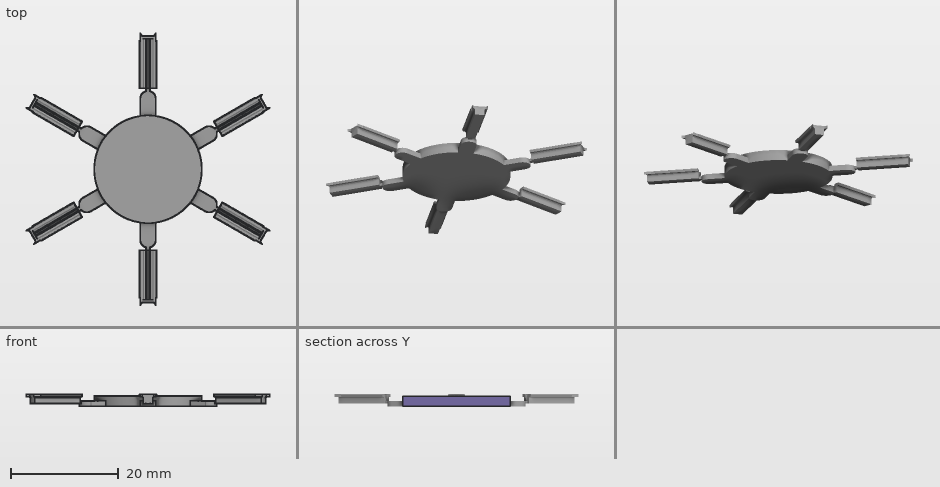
import cadquery as cq
import math

disc_radius = 10.0
disc_height = 1.95

spoke_count = 6
first_spoke_angle = 30
pad_width = 2.95
pad_height = 1.0
pad_tip = 14.55

rail_start = 15.05
rail_end = 24.8
rail_bottom = 0.5
rail_top = 2.3
rail_width = 1.75

flange_width = 2.9
flange_height = 0.5
flange_tip = 25.3
flange_root_chamfer = 0.15
flange_end_radius = 0.9
flange_bottom = rail_top - flange_height
flange_root_half_width = rail_width / 2 + flange_root_chamfer

bead_depth = 0.15
bead_end = 23.9

groove_width = 0.75
groove_depth = 1.2
groove_lip_width = 0.48
groove_lip_radius = 0.6
groove_floor_width = 0.4
groove_floor_radius = 0.25
groove_end = 24.3

neck_width = groove_width
neck_overlap = 0.5


def extrude_along_spoke(profile, start, end):
    """Mirror a half section and extrude it outward from start to end."""
    return profile.mirrorY().extrude(end - start)


def section_plane(start):
    """Section across the spoke: local x is sideways (+Y), local y is up (+Z)."""
    return cq.Workplane("YZ", origin=(start, 0, 0))


def arc_rise(radius, run):
    """Height gained by an arc that starts level, over a given sideways run."""
    return radius - math.sqrt(radius**2 - run**2)


def make_pad():
    """Flat bar reaching from the hub axis to a fully rounded tip."""
    half = pad_width / 2
    end_center = pad_tip - half
    return (
        cq.Workplane("XY")
        .moveTo(0, -half)
        .lineTo(end_center, -half)
        .threePointArc((pad_tip, 0), (end_center, half))
        .lineTo(0, half)
        .close()
        .extrude(pad_height)
    )


def make_neck():
    """Bar joining pad and rail, overlapping both so that they fuse."""
    start = pad_tip - neck_overlap
    length = rail_start + neck_overlap - start
    height = pad_height - rail_bottom
    return (
        cq.Workplane("XY", origin=(start, 0, rail_bottom))
        .box(length, neck_width, height, centered=(False, True, False))
    )


def make_rail_body():
    """Solid bar with chamfered shoulders under the flanges."""
    half = rail_width / 2
    profile = (
        section_plane(rail_start)
        .moveTo(0, rail_bottom)
        .lineTo(half, rail_bottom)
        .lineTo(half, flange_bottom - flange_root_chamfer)
        .lineTo(flange_root_half_width, flange_bottom)
        .lineTo(flange_root_half_width, rail_top)
        .lineTo(0, rail_top)
    )
    return extrude_along_spoke(profile, rail_start, rail_end)


def make_flanges():
    """Beaded flange plate whose outer end curves forward into two pointed tips."""
    half = flange_width / 2
    plate = (
        cq.Workplane("XY", origin=(0, 0, flange_bottom))
        .moveTo(rail_start, 0)
        .lineTo(rail_start, half)
        .lineTo(flange_tip, half)
        .radiusArc((rail_end, flange_root_half_width), -flange_end_radius)
        .lineTo(rail_end, 0)
        .mirrorX()
        .extrude(flange_height)
    )
    bead_profile = (
        section_plane(rail_start)
        .moveTo(0, flange_bottom)
        .lineTo(half, flange_bottom)
        .lineTo(half + bead_depth, rail_top - bead_depth)
        .radiusArc((half, rail_top), -bead_depth)
        .lineTo(0, rail_top)
    )
    return plate.union(extrude_along_spoke(bead_profile, rail_start, bead_end))


def make_groove():
    """Cutter with a rounded mouth, tapering walls and a concave floor."""
    half = groove_width / 2
    floor_half = groove_floor_width / 2
    mouth_half = half + groove_lip_width
    lip_drop = arc_rise(groove_lip_radius, groove_lip_width)
    floor_rise = arc_rise(groove_floor_radius, floor_half)
    bottom = rail_top - groove_depth
    profile = (
        section_plane(rail_start)
        .moveTo(0, bottom)
        .radiusArc((floor_half, bottom + floor_rise), -groove_floor_radius)
        .lineTo(half, rail_top - lip_drop)
        .radiusArc((mouth_half, rail_top), groove_lip_radius)
        .lineTo(0, rail_top)
    )
    return extrude_along_spoke(profile, rail_start, groove_end)


def make_spoke():
    rail = make_rail_body().union(make_flanges()).cut(make_groove())
    return make_pad().union(make_neck()).union(rail)


result = cq.Workplane("XY").circle(disc_radius).extrude(disc_height)
spoke = make_spoke()
for index in range(spoke_count):
    angle = first_spoke_angle + index * 360 / spoke_count
    result = result.union(spoke.rotate((0, 0, 0), (0, 0, 1), angle))